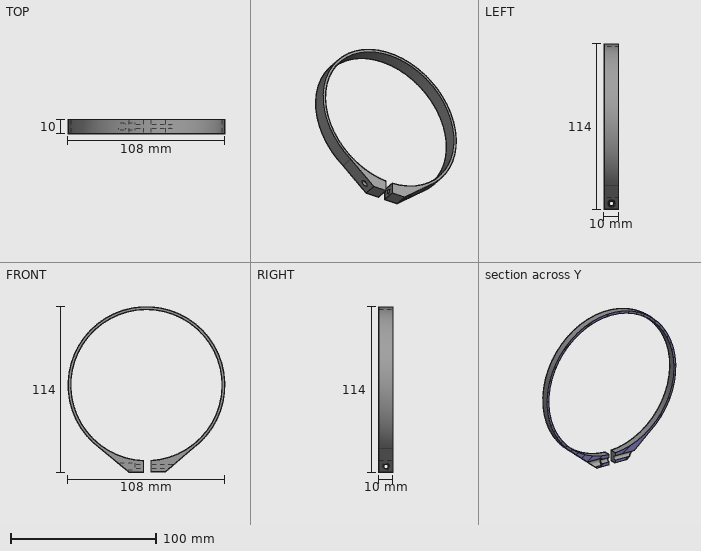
import cadquery as cq
import math

outer_radius = 54.0
band_thickness = 2.0
width = 10.0
inner_radius = outer_radius - band_thickness

left_gap_x = -2.0
left_corner_x = -12.0
left_bottom_z = -59.96
right_gap_x = 3.0
right_corner_x = 13.0
right_bottom_z = -59.75

join_angle = 36.0

screw_z = -56.0
screw_hole_diameter = 3.0
head_recess_diameter = 5.0
head_seat_thickness = 6.0


def outer_point(angle):
    """Point on the outer circle at an angle from the bottom, in degrees, positive toward +X."""
    turn = math.radians(angle)
    return outer_radius * math.sin(turn), -outer_radius * math.cos(turn)


def inner_point(x):
    """Point on the lower half of the inner circle at the given X."""
    return x, -math.sqrt(inner_radius**2 - x**2)


def make_clamp():
    """Open band and its two ears, extruded symmetrically about the XZ plane."""
    return (
        cq.Workplane("XZ")
        .moveTo(*inner_point(left_gap_x))
        .lineTo(left_gap_x, left_bottom_z)
        .lineTo(left_corner_x, left_bottom_z)
        .lineTo(*outer_point(-join_angle))
        .threePointArc((0, outer_radius), outer_point(join_angle))
        .lineTo(right_corner_x, right_bottom_z)
        .lineTo(right_gap_x, right_bottom_z)
        .lineTo(*inner_point(right_gap_x))
        .threePointArc((0, inner_radius), inner_point(left_gap_x))
        .close()
        .extrude(width / 2, both=True)
    )


def x_cylinder(diameter, start_x, end_x):
    """Cylinder along the screw axis between two X positions."""
    return (
        cq.Workplane("YZ", origin=(start_x, 0, screw_z))
        .circle(diameter / 2)
        .extrude(end_x - start_x)
    )


screw_hole = x_cylinder(screw_hole_diameter, -outer_radius, outer_radius)
head_recess = x_cylinder(head_recess_diameter, -outer_radius, left_gap_x - head_seat_thickness)

result = make_clamp().cut(screw_hole).cut(head_recess)